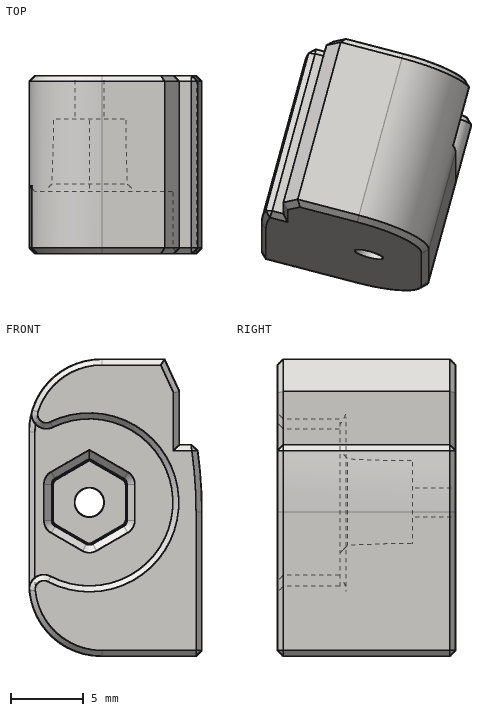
import cadquery as cq
import math

WIDTH = 11.93
DEPTH = 12.3
HEIGHT = 20.5
CORNER_RADIUS = 5.0
EDGE_CHAMFER = 0.4

TOP_END_X = 9.35
NECK_X = 10.37
SLANT_BOTTOM_Z = 18.29
STEP_Z = 14.6
FLANK_START_Z = 9.98
FLANK_RADIUS = 30.75

AXIS_X = 4.16
AXIS_Z = 10.62
POCKET_RADIUS = 5.76
POCKET_DEPTH = 4.3
TIP_RADIUS = 1.0
CLEARANCE = 2.05

SOCKET_MOUTH_FLATS = 6.27
SOCKET_LEAD_FLATS = 5.2
SOCKET_FLATS = 5.0
SOCKET_CHAMFER_DEPTH = (SOCKET_MOUTH_FLATS - SOCKET_LEAD_FLATS) / 2
SOCKET_TAPER_DEPTH = 3.08
SOCKET_DEPTH = 5.0
SOCKET_CORNER_RADIUS = 0.45

HOLE_DIAMETER = 2.0


def xz_plane(y):
    """Sketch plane parallel to XZ at depth y; positive extrusion goes toward -Y."""
    return cq.Workplane("XZ", origin=(0, y, 0))


def flank_x(z):
    """X of the bulged flank at height z; it meets the right side tangentially."""
    rise = z - FLANK_START_Z
    return WIDTH - FLANK_RADIUS + math.sqrt(FLANK_RADIUS**2 - rise**2)


def block(front_y, back_y):
    """Outline of the part, solid from front_y to back_y."""
    arc_near = CORNER_RADIUS * (1 - math.sqrt(0.5))
    flank_mid_z = (FLANK_START_Z + STEP_Z) / 2
    return (
        xz_plane(front_y)
        .moveTo(CORNER_RADIUS, 0)
        .lineTo(WIDTH, 0)
        .lineTo(WIDTH, FLANK_START_Z)
        .threePointArc((flank_x(flank_mid_z), flank_mid_z), (flank_x(STEP_Z), STEP_Z))
        .lineTo(NECK_X, STEP_Z)
        .lineTo(NECK_X, SLANT_BOTTOM_Z)
        .lineTo(TOP_END_X, HEIGHT)
        .lineTo(CORNER_RADIUS, HEIGHT)
        .threePointArc((arc_near, HEIGHT - arc_near), (0, HEIGHT - CORNER_RADIUS))
        .lineTo(0, CORNER_RADIUS)
        .threePointArc((arc_near, arc_near), (CORNER_RADIUS, 0))
        .close()
        .extrude(front_y - back_y)
    )


def tip_points(corner_z):
    """Start, middle and end of the rounded tip between the pocket wall and an outer corner.

    The tip circle touches the pocket circle from outside and the corner arc from inside.
    """
    from_axis = POCKET_RADIUS + TIP_RADIUS
    from_corner = CORNER_RADIUS - TIP_RADIUS
    gap_x = CORNER_RADIUS - AXIS_X
    gap_z = corner_z - AXIS_Z
    gap = math.hypot(gap_x, gap_z)
    turn = math.acos((from_axis**2 + gap**2 - from_corner**2) / (2 * from_axis * gap))
    angle = math.atan2(gap_z, gap_x) + math.copysign(turn, gap_z)
    tip_x = AXIS_X + from_axis * math.cos(angle)
    tip_z = AXIS_Z + from_axis * math.sin(angle)

    wall_angle = angle + math.pi
    side_angle = math.atan2(tip_z - corner_z, tip_x - CORNER_RADIUS)
    middle_angle = math.atan2(
        math.sin(wall_angle) + math.sin(side_angle),
        math.cos(wall_angle) + math.cos(side_angle),
    )
    return [
        (tip_x + TIP_RADIUS * math.cos(a), tip_z + TIP_RADIUS * math.sin(a))
        for a in (wall_angle, middle_angle, side_angle)
    ]


def pocket(depth):
    """Round pocket whose mouth flares around both tips and leaves through the left side."""
    low_wall, low_middle, low_side = tip_points(CORNER_RADIUS)
    high_wall, high_middle, high_side = tip_points(HEIGHT - CORNER_RADIUS)
    return (
        xz_plane(0)
        .moveTo(*low_wall)
        .threePointArc((AXIS_X + POCKET_RADIUS, AXIS_Z), high_wall)
        .threePointArc(high_middle, high_side)
        .lineTo(-CLEARANCE, high_side[1])
        .lineTo(-CLEARANCE, low_side[1])
        .lineTo(*low_side)
        .threePointArc(low_middle, low_wall)
        .close()
        .extrude(-depth)
    )


def hexagon_wire(across_flats, corner_radius, y):
    """Hexagon with a sharp top corner and five rounded corners."""
    half_turn = math.pi / 6
    to_corner = across_flats / math.sqrt(3)
    to_round_center = to_corner - corner_radius / math.cos(half_turn)
    sketch = xz_plane(y).moveTo(AXIS_X, AXIS_Z + to_corner)
    for corner in range(1, 6):
        angle = math.pi / 2 + 2 * corner * half_turn
        center_x = AXIS_X + to_round_center * math.cos(angle)
        center_z = AXIS_Z + to_round_center * math.sin(angle)
        start, middle, end = [
            (
                center_x + corner_radius * math.cos(angle + swing),
                center_z + corner_radius * math.sin(angle + swing),
            )
            for swing in (-half_turn, 0, half_turn)
        ]
        sketch = sketch.lineTo(*start).threePointArc(middle, end)
    return sketch.close().val()


def socket():
    """Hexagonal socket: chamfered mouth, slightly tapered lead-in and straight bottom."""
    mouth_radius = SOCKET_CORNER_RADIUS + SOCKET_CHAMFER_DEPTH
    lead_y = POCKET_DEPTH + SOCKET_CHAMFER_DEPTH
    straight_y = lead_y + SOCKET_TAPER_DEPTH
    mouth = hexagon_wire(SOCKET_MOUTH_FLATS, mouth_radius, POCKET_DEPTH)
    lead = hexagon_wire(SOCKET_LEAD_FLATS, SOCKET_CORNER_RADIUS, lead_y)
    straight = hexagon_wire(SOCKET_FLATS, SOCKET_CORNER_RADIUS, straight_y)
    bottom = hexagon_wire(SOCKET_FLATS, SOCKET_CORNER_RADIUS, POCKET_DEPTH + SOCKET_DEPTH)
    stages = [
        cq.Solid.makeLoft([near, far], True)
        for near, far in ((mouth, lead), (lead, straight), (straight, bottom))
    ]
    return cq.Workplane(stages[0]).add(stages[1:]).combine()


deep_pocket = pocket(POCKET_DEPTH + EDGE_CHAMFER)
shell = block(0, DEPTH).cut(deep_pocket)
bottom_corner = cq.selectors.NearestToPointSelector((WIDTH, DEPTH / 2, 0))
step_corner = cq.selectors.NearestToPointSelector((flank_x(STEP_Z), DEPTH / 2, STEP_Z))
shell = (
    shell.faces("<Y or >Y")
    .edges()
    .add(shell.edges(bottom_corner))
    .add(shell.edges(step_corner))
    .chamfer(EDGE_CHAMFER)
)

floor = block(POCKET_DEPTH, DEPTH).faces("<Y").edges().chamfer(EDGE_CHAMFER)
body = shell.union(floor.intersect(deep_pocket))

hole = xz_plane(0).center(AXIS_X, AXIS_Z).circle(HOLE_DIAMETER / 2).extrude(-DEPTH)

result = body.cut(socket()).cut(hole)